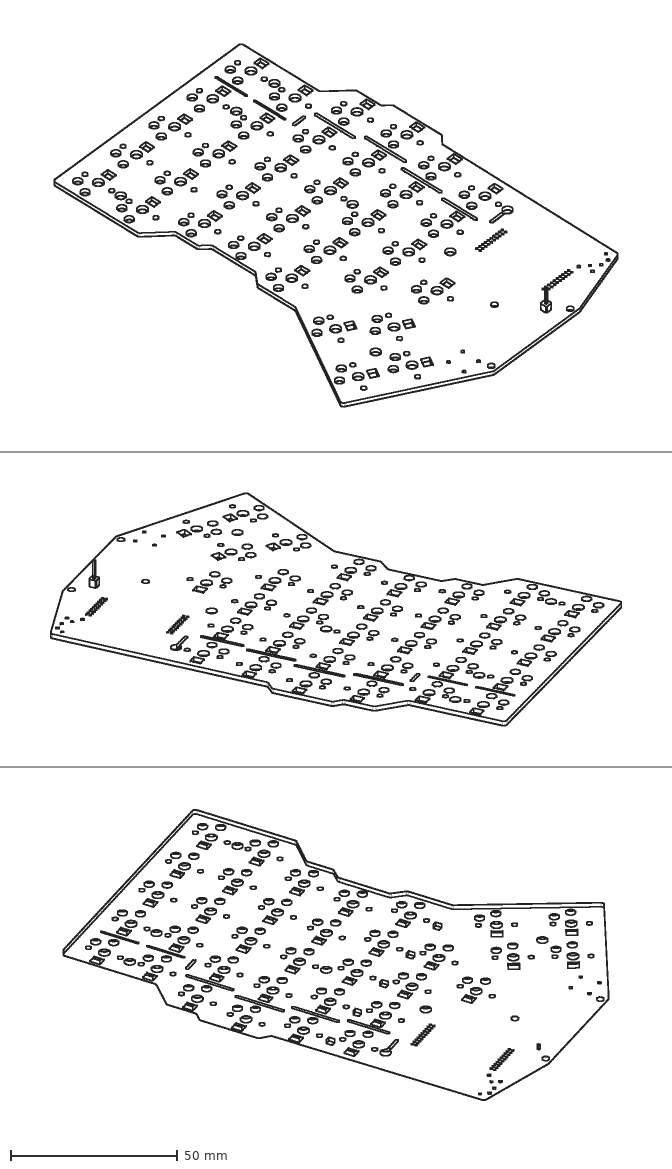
import cadquery as cq
import math


board_thickness = 1.5
board_length = 155.6
board_width = 109.2
corner_radius = 1.0
tilt = -30.0

left = -board_length / 2
right = board_length / 2
top = board_width / 2
left_top_y = 44.3
left_bottom_y = -39.5
third_top_y = 52.1
third_bottom_y = -31.6
fourth_bottom_y = -28.6
fifth_bottom_y = -32.2
board_outline = (
    (left, left_top_y),
    (-45.7, left_top_y),
    (-38.0, third_top_y),
    (-27.9, third_top_y),
    (-25.4, top),
    (-5.3, top),
    (-2.5, 51.7),
    (69.9, 51.0),
    (right, 25.0),
    (right, -13.2),
    (53.8, -55.0),
    (14.3, fifth_bottom_y),
    (-1.1, fifth_bottom_y),
    (-5.1, fourth_bottom_y),
    (-22.9, fourth_bottom_y),
    (-26.0, third_bottom_y),
    (-35.2, third_bottom_y),
    (-43.0, left_bottom_y),
    (left, left_bottom_y),
)

key_rows = 5
column_height = 68.0
row_pitch = column_height / (key_rows - 1)
first_column_x = -67.2
last_column_x = 22.7
column_top_y = (37.2, 37.2, 45.1, 47.6, 44.7, 43.1)
column_key_count = (5, 5, 5, 5, 5, 4)
column_pitch = (last_column_x - first_column_x) / (len(column_top_y) - 1)

upright_thumb_key = (40.8, 2.0)
corner_thumb_key = (49.3, -42.5)
wide_key_pitch = 1.25 * column_pitch

stem_diameter = 3.5
peg_diameter = 1.7
peg_offset = 5.5
socket_diameter = 3.0
socket_points = ((-5.0, -3.7), (0, -5.9))
window_length = 3.5
window_width = 2.8
window_offset = 4.7

mount_diameter = 3.3
mount_x = first_column_x + column_pitch / 2
cable_x = 31.9
cable_hole_y = 43.1
mount_points = (
    (mount_x, 37.8),
    (mount_x, 20.9),
    (mount_x, -30.7),
    (-4.2, 13.5),
    (cable_x, cable_hole_y),
    (cable_x, 17.6),
    (45.7, -30.8),
)
locating_diameter = 2.2
locating_points = ((75.8, 23.0), (75.6, -12.0), (57.7, 9.0))

wide_slot_width = 1.0
narrow_slot_width = 0.6
wide_slots = (
    ((-31.9, 36.0), 16.2, 0),
    ((-13.5, 38.5), 16.7, 0),
    ((3.9, 35.5), 16.2, 0),
    ((21.0, 33.6), 14.2, 0),
    ((-41.4, 30.3), 5.3, 90),
)
narrow_slot_length = 12.8
narrow_slot_y = 28.0
narrow_slots = (
    ((-66.9, narrow_slot_y), narrow_slot_length, 0),
    ((-51.2, narrow_slot_y), narrow_slot_length, 0),
)
cable_slot_end_y = 35.5

contact_diameter = 0.6
contact_pitch = 1.26
contact_count = 10
contact_centers = ((37.5, 29.7), (64.5, 29.7))

terminal_diameter = 1.0
terminal_points = ((69.4, 46.8), (69.4, 43.9), (69.4, 40.0), (64.9, 38.7))
switch_spacing = 6.4
switch_center = (68.2, -16.2)
via_diameter = 0.8
via_points = ((67.0, 48.5), (67.0, 41.4))

header_point = (70.6, 17.9)
header_hole_diameter = 1.0
header_width = 2.5
header_chamfer = 0.3
pin_width = 0.6
pin_height = 11.5
pin_tail = 1.32

chip_length = 2.0
chip_width = 1.5
chip_height = 1.32
chip_x = 14.0
chip_top_y = 44.8


def turned(point, angle):
    """The point turned about the origin by an angle in degrees."""
    a = math.radians(angle)
    x, y = point
    return (x * math.cos(a) - y * math.sin(a), x * math.sin(a) + y * math.cos(a))


def shifted(point, base, angle=0):
    """The point measured from a base point in a frame turned by an angle."""
    x, y = turned(point, angle)
    return (base[0] + x, base[1] + y)


def cutter(sketch):
    """A sketch on the lower face carried through the board."""
    return sketch.extrude(board_thickness)


def round_holes(points, diameter):
    return cutter(cq.Workplane("XY").pushPoints(points).circle(diameter / 2))


def slot(center, length, width, angle):
    plane = cq.Workplane("XY").center(*center)
    return cutter(plane.slot2D(length, width, angle))


def board_blank():
    blank = cq.Workplane("XY").polyline(board_outline).close().extrude(board_thickness)
    return blank.edges("|Z").fillet(corner_radius)


def key_places():
    """Centre and angle of every key."""
    places = []
    for column, (top_y, count) in enumerate(zip(column_top_y, column_key_count)):
        x = first_column_x + column * column_pitch
        for row in range(count):
            places.append(((x, top_y - row * row_pitch), 0))
    places.append((upright_thumb_key, 0))
    tilted_offsets = (
        (0, 0),
        (-wide_key_pitch, 0),
        (0, row_pitch),
        (-column_pitch, row_pitch),
    )
    for offset in tilted_offsets:
        places.append((shifted(offset, corner_thumb_key, tilt), tilt))
    return places


def key_openings():
    places = key_places()
    stems = [center for center, angle in places]
    pegs = []
    sockets = []
    windows = []
    for center, angle in places:
        for x in (-peg_offset, peg_offset):
            pegs.append(shifted((x, 0), center, angle))
        for point in socket_points:
            sockets.append(shifted(point, center, angle))
        x, y = shifted((0, window_offset), center, angle)
        window = cutter(cq.Workplane("XY").rect(window_length, window_width))
        windows.append(window.rotate((0, 0, 0), (0, 0, 1), angle).translate((x, y, 0)))
    cutters = [
        round_holes(stems, stem_diameter),
        round_holes(pegs, peg_diameter),
        round_holes(sockets, socket_diameter),
    ]
    return cutters + windows


def slots():
    cutters = []
    for center, length, angle in wide_slots:
        cutters.append(slot(center, length, wide_slot_width, angle))
    for center, length, angle in narrow_slots:
        cutters.append(slot(center, length, narrow_slot_width, angle))
    cable_slot_length = cable_hole_y - cable_slot_end_y
    cable_slot_center = (cable_x, (cable_hole_y + cable_slot_end_y) / 2)
    cutters.append(slot(cable_slot_center, cable_slot_length, wide_slot_width, 90))
    return cutters


def contact_holes():
    cutters = []
    for center in contact_centers:
        grid = cq.Workplane("XY").center(*center)
        grid = grid.rarray(contact_pitch, contact_pitch, 2, contact_count)
        cutters.append(cutter(grid.circle(contact_diameter / 2)))
    return cutters


def single_holes():
    half = switch_spacing / 2
    switch_points = [shifted((x, y), switch_center) for x in (-half, half) for y in (-half, half)]
    return [
        round_holes(mount_points, mount_diameter),
        round_holes(locating_points, locating_diameter),
        round_holes(terminal_points, terminal_diameter),
        round_holes(switch_points, terminal_diameter),
        round_holes(via_points, via_diameter),
        round_holes([header_point], header_hole_diameter),
    ]


def make_board():
    cutters = key_openings() + slots() + contact_holes() + single_holes()
    solids = [solid for item in cutters for solid in item.vals()]
    return cq.Workplane(board_blank().val().cut(*solids))


def make_header():
    block = cq.Workplane("XY").rect(header_width, header_width).extrude(header_width)
    block = block.edges("|Z").chamfer(header_chamfer)
    pin = cq.Workplane("XY").rect(pin_width, pin_width).extrude(pin_height)
    pin = pin.translate((0, 0, -board_thickness - pin_tail))
    return block.union(pin).translate((*header_point, board_thickness))


def make_chip(row):
    chip = cq.Workplane("XY").rect(chip_length, chip_width).extrude(-chip_height)
    return chip.translate((chip_x, chip_top_y - row * row_pitch, 0))


board = make_board()
header = make_header()
chips = [make_chip(row) for row in range(key_rows)]

result = cq.Compound.makeCompound([board.val(), header.val(), *[chip.val() for chip in chips]])